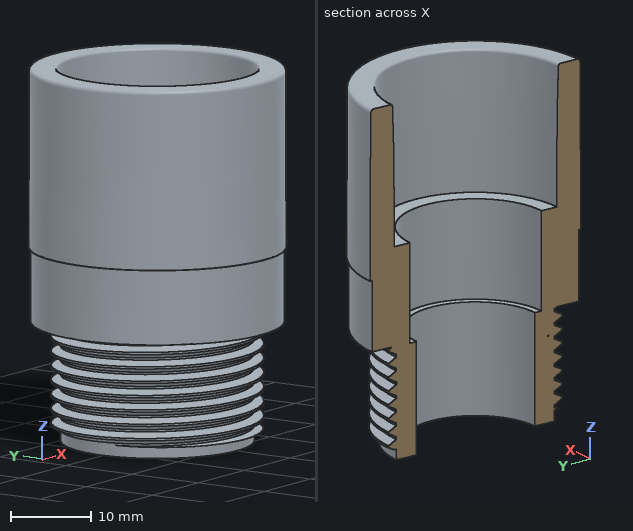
import cadquery as cq

total_height = 47.3
thread_start_z = 1.45
collar_bottom_z = 15.1
sleeve_bottom_z = 24.55

sleeve_bottom_diameter = 32.1
sleeve_top_diameter = 31.97
collar_diameter = 31.6
thread_root_diameter = 24.1

socket_mouth_diameter = 25.15
socket_floor_diameter = 24.7
socket_depth = 18.9

upper_bore_diameter = 20.0
lower_bore_diameter = 18.0

outer_rim_radius = 0.55
mouth_rim_radius = 0.43

thread_turns = 7.5
thread_pitch = (collar_bottom_z - thread_start_z) / thread_turns
thread_depth = 1.2
thread_flat = 0.3
thread_embed = 0.15
first_crest_z = 1.55

socket_floor_z = total_height - socket_depth
thread_root_radius = thread_root_diameter / 2


def cylinder(diameter, bottom_z, top_z):
    return cq.Workplane("XY").workplane(offset=bottom_z).circle(diameter / 2).extrude(top_z - bottom_z)


def make_outer_body():
    spigot = cylinder(thread_root_diameter, 0, collar_bottom_z).rotate((0, 0, 0), (0, 0, 1), 180)
    collar = cylinder(collar_diameter, collar_bottom_z, sleeve_bottom_z)
    return spigot.union(collar).union(make_sleeve())


def make_sleeve():
    sleeve = (
        cq.Workplane("XY")
        .workplane(offset=sleeve_bottom_z)
        .circle(sleeve_bottom_diameter / 2)
        .workplane(offset=total_height - sleeve_bottom_z)
        .circle(sleeve_top_diameter / 2)
        .loft(ruled=True)
    )
    return sleeve.faces(">Z").edges().fillet(outer_rim_radius)


def make_thread():
    helix_bottom_z = first_crest_z - thread_pitch
    helix_height = collar_bottom_z + thread_pitch - helix_bottom_z
    helix = cq.Wire.makeHelix(thread_pitch, helix_height, thread_root_radius)
    path = cq.Workplane("XY").newObject([helix.translate(cq.Vector(0, 0, helix_bottom_z))])

    half_crest = thread_flat / 2
    flank_slope = (thread_pitch / 2 - thread_flat) / thread_depth
    half_base = half_crest + flank_slope * (thread_depth + thread_embed)
    base_radius = thread_root_radius - thread_embed
    crest_radius = thread_root_radius + thread_depth
    ridge = (
        cq.Workplane("XZ", origin=(0, 0, helix_bottom_z))
        .moveTo(base_radius, -half_base)
        .lineTo(crest_radius, -half_crest)
        .lineTo(crest_radius, half_crest)
        .lineTo(base_radius, half_base)
        .close()
        .sweep(path, isFrenet=True)
    )
    trim = cylinder(collar_diameter, thread_start_z, collar_bottom_z + thread_embed)
    return ridge.intersect(trim)


def make_passage():
    mouth_radius = socket_mouth_diameter / 2
    half_section = (
        cq.Workplane("XZ")
        .moveTo(0, 0)
        .lineTo(lower_bore_diameter / 2, 0)
        .lineTo(lower_bore_diameter / 2, collar_bottom_z)
        .lineTo(upper_bore_diameter / 2, collar_bottom_z)
        .lineTo(upper_bore_diameter / 2, socket_floor_z)
        .lineTo(socket_floor_diameter / 2, socket_floor_z)
        .lineTo(mouth_radius, total_height - mouth_rim_radius)
        .tangentArcPoint((mouth_radius + mouth_rim_radius, total_height), relative=False)
        .lineTo(0, total_height)
        .close()
    )
    return half_section.revolve(360, (0, 0, 0), (0, 1, 0))


result = make_outer_body().union(make_thread()).cut(make_passage())